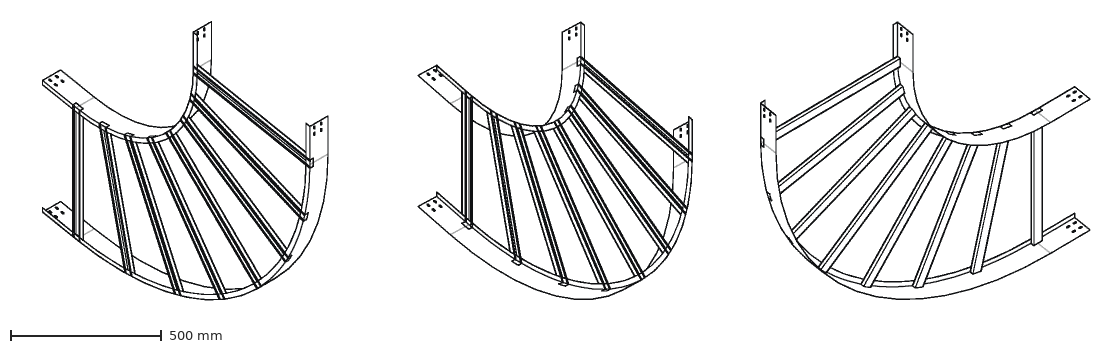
import cadquery as cq
import math

OVERALL = 1373.0

RAIL_HEIGHT = 80.0
RAIL_WIDTH = 20.0
OUTER_RADIUS = 1200.0
INNER_RADIUS = 600.0
THICKNESS = 1.5
FOLD_RADIUS = 1.0

RUNG_COUNT = 8
RUNG_WIDTH = 38.0
RUNG_HEIGHT = 15.0
RUNG_OPENING = 25.0

FIRST_SLOT_FROM_END = 16.0
FIRST_SLOT_FROM_BACK = 30.0
SLOT_PITCH = 29.0
SLOT_LENGTH = 12.0
SLOT_WIDTH = 5.0
SLOTS_PER_SIDE = 2

STRAIGHT = OVERALL - OUTER_RADIUS
BEND_CENTRE_X = STRAIGHT - OVERALL / 2
BEND_CENTRE_Z = OVERALL / 2 - STRAIGHT
FRONT_Y = -RAIL_HEIGHT / 2
BACK_Y = RAIL_HEIGHT / 2
RUNG_START = INNER_RADIUS + THICKNESS
RUNG_LENGTH = OUTER_RADIUS - THICKNESS - RUNG_START
DIAGONAL = math.sqrt(0.5)


def bent_strip(first_radius, second_radius, depth):
    """Quarter-turn strip with straight ends between two radii, reaching from the -Y side by a depth."""
    return (
        cq.Workplane("XZ", origin=(0, FRONT_Y, 0))
        .moveTo(first_radius, STRAIGHT)
        .lineTo(first_radius, 0)
        .threePointArc((first_radius * DIAGONAL, -first_radius * DIAGONAL), (0, -first_radius))
        .lineTo(-STRAIGHT, -first_radius)
        .lineTo(-STRAIGHT, -second_radius)
        .lineTo(0, -second_radius)
        .threePointArc((second_radius * DIAGONAL, -second_radius * DIAGONAL), (second_radius, 0))
        .lineTo(second_radius, STRAIGHT)
        .close()
        .extrude(-depth)
    )


def rail(web_radius, flange_side):
    """Rail with a full-height web and a flange on its -Y edge.

    The flange points away from the bend axis for a side of 1 and towards it for -1.
    """
    web = bent_strip(web_radius, web_radius + flange_side * THICKNESS, RAIL_HEIGHT)
    flange = bent_strip(web_radius, web_radius + flange_side * RAIL_WIDTH, THICKNESS)
    on_arc = cq.NearestToPointSelector((web_radius * DIAGONAL, FRONT_Y, -web_radius * DIAGONAL))
    on_upper_end = cq.NearestToPointSelector((web_radius, FRONT_Y, STRAIGHT / 2))
    on_lower_end = cq.NearestToPointSelector((-STRAIGHT / 2, FRONT_Y, -web_radius))
    return web.union(flange).edges("<Y").edges(on_arc + on_upper_end + on_lower_end).fillet(FOLD_RADIUS)


def rung_bar(height, width):
    """Straight bar along X from the inner to the outer web, starting at Y = 0."""
    return cq.Workplane("XY", origin=(RUNG_START, 0, 0)).box(
        RUNG_LENGTH, height, width, centered=(False, False, True)
    )


def rung(angle):
    """C-channel rung resting on the rail flanges, turned about the bend axis."""
    cavity = rung_bar(RUNG_HEIGHT - 2 * THICKNESS, RUNG_WIDTH - 2 * THICKNESS).translate((0, THICKNESS, 0))
    opening = rung_bar(THICKNESS, RUNG_OPENING)
    channel = rung_bar(RUNG_HEIGHT, RUNG_WIDTH).cut(cavity).cut(opening)
    return channel.translate((0, FRONT_Y + THICKNESS, 0)).rotate((0, 0, 0), (0, 1, 0), angle)


def end_slots():
    """Cutters for the bolt slots, passing through both webs at both rail ends."""
    first_along = STRAIGHT - FIRST_SLOT_FROM_END
    first_y = BACK_Y - FIRST_SLOT_FROM_BACK
    positions = [
        (first_along - column * SLOT_PITCH, first_y - row * SLOT_PITCH)
        for column in range(SLOTS_PER_SIDE)
        for row in range(SLOTS_PER_SIDE)
    ]
    lower_end = (
        cq.Workplane("XY")
        .pushPoints([(-along, y) for along, y in positions])
        .slot2D(SLOT_LENGTH, SLOT_WIDTH)
        .extrude(-OVERALL)
    )
    upper_end = (
        cq.Workplane("YZ")
        .pushPoints([(y, along) for along, y in positions])
        .slot2D(SLOT_LENGTH, SLOT_WIDTH, 90)
        .extrude(OVERALL)
    )
    return lower_end.add(upper_end)


tray = rail(INNER_RADIUS, 1).union(rail(OUTER_RADIUS, -1))
for index in range(RUNG_COUNT):
    tray = tray.union(rung(90 * index / (RUNG_COUNT - 1)))
for cutter in end_slots().vals():
    tray = tray.cut(cq.Workplane(cutter))

result = tray.translate((BEND_CENTRE_X, 0, BEND_CENTRE_Z)).solids()